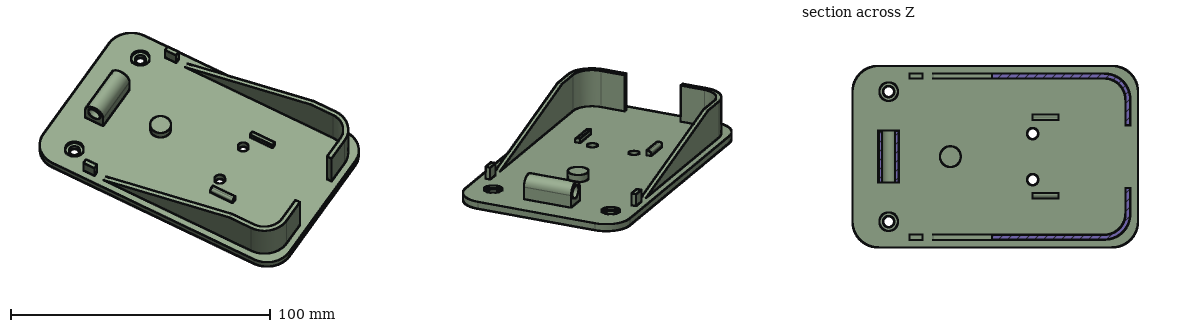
import cadquery as cq
import math

plate_length = 110.0
plate_width = 70.0
plate_thickness = 3.0
overall_height = 18.0
corner_radius = 10.0

wall_inset = 3.0
wall_thickness = 2.0
ramp_start_x = -24.0
ramp_angle = 15.0
end_gap_width = 24.0

tab_x = -30.5
tab_length = 5.0
tab_height = 5.0

hinge_x = -41.0
hinge_diameter = 8.0
hinge_length = 20.0
hinge_axis_z = 8.0
hinge_bore = 5.3

stud_x = -17.3
stud_diameter = 8.0
stud_height = 3.0

hole_diameter = 4.2
plain_hole_x = 14.4
plain_hole_spacing = 17.7
screw_spacing = 50.0
recess_diameter = 7.2
recess_depth = 1.0

rail_start_x = plain_hole_x
rail_length = 10.0
rail_inner_y = 14.1
rail_width = 2.1
rail_height = 1.9
rail_rounding = 1.0

wall_height = overall_height - plate_thickness
wall_end_x = plate_length / 2 - wall_inset
wall_outer_y = plate_width / 2 - wall_inset
ramp_end_x = ramp_start_x + wall_height / math.tan(math.radians(ramp_angle))


def box(x_start, y_start, length, width, height):
    """Block standing on the plate, placed by its lowest X and Y corner."""
    return (
        cq.Workplane("XY")
        .box(length, width, height, centered=False)
        .translate((x_start, y_start, plate_thickness))
    )


def make_plate():
    return (
        cq.Workplane("XY")
        .box(plate_length, plate_width, plate_thickness, centered=(True, True, False))
        .edges("|Z")
        .fillet(corner_radius)
    )


def wall_block(inset, corner):
    """Solid block with rounded +X corners, shrunk by inset on its sides and +X end."""
    length = wall_end_x - ramp_start_x - inset
    half_width = wall_outer_y - inset
    block = box(ramp_start_x, -half_width, length, 2 * half_width, wall_height)
    return block.edges("|Z and >X").fillet(corner)


def make_walls():
    shell = wall_block(0, corner_radius).cut(
        wall_block(wall_thickness, corner_radius - wall_thickness)
    )
    gap = box(0, -end_gap_width / 2, wall_end_x, end_gap_width, wall_height)
    side_profile = (
        cq.Workplane("XZ")
        .moveTo(ramp_start_x, plate_thickness)
        .lineTo(ramp_end_x, overall_height)
        .lineTo(wall_end_x, overall_height)
        .lineTo(wall_end_x, plate_thickness)
        .close()
        .extrude(wall_outer_y, both=True)
    )
    return shell.cut(gap).intersect(side_profile)


def make_tab():
    """Tab on the +Y side."""
    return box(
        tab_x - tab_length / 2, wall_outer_y - wall_thickness, tab_length, wall_thickness, tab_height
    )


def make_rail():
    """Rail on the +Y side."""
    rail = box(rail_start_x, rail_inner_y, rail_length, rail_width, rail_height)
    return rail.edges(">Z and >Y").fillet(rail_rounding)


def make_hinge():
    radius = hinge_diameter / 2
    return (
        cq.Workplane("XZ")
        .moveTo(hinge_x - radius, plate_thickness)
        .lineTo(hinge_x - radius, hinge_axis_z)
        .threePointArc((hinge_x, hinge_axis_z + radius), (hinge_x + radius, hinge_axis_z))
        .lineTo(hinge_x + radius, plate_thickness)
        .close()
        .moveTo(hinge_x, hinge_axis_z)
        .circle(hinge_bore / 2)
        .extrude(hinge_length / 2, both=True)
    )


def make_stud():
    return (
        cq.Workplane("XY", origin=(stud_x, 0, plate_thickness))
        .circle(stud_diameter / 2)
        .extrude(stud_height)
    )


def hole_pair(spacing):
    """Two points mirrored across the X axis."""
    return [(0, -spacing / 2), (0, spacing / 2)]


result = make_plate().union(make_walls()).union(make_hinge()).union(make_stud())

for side_feature in (make_tab(), make_rail()):
    result = result.union(side_feature).union(side_feature.mirror("XZ"))

result = (
    result.copyWorkplane(cq.Workplane("XY", origin=(plain_hole_x, 0, plate_thickness)))
    .pushPoints(hole_pair(plain_hole_spacing))
    .hole(hole_diameter, plate_thickness)
)
result = (
    result.copyWorkplane(cq.Workplane("XY", origin=(hinge_x, 0, plate_thickness)))
    .pushPoints(hole_pair(screw_spacing))
    .cboreHole(hole_diameter, recess_diameter, recess_depth, plate_thickness)
)